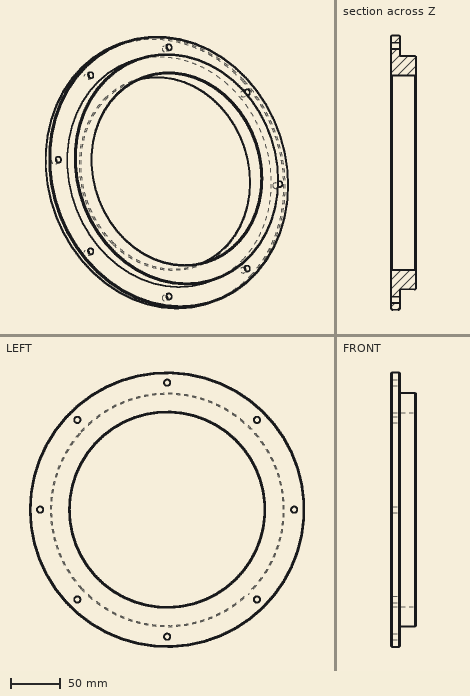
import cadquery as cq

flange_diameter = 276.0
hub_diameter = 235.0
bore_diameter = 195.0
total_length = 25.0
flange_thickness = 9.0
edge_chamfer = 1.0

hole_count = 8
hole_diameter = 6.0
bolt_circle_diameter = 255.0


def disc(diameter, length):
    """Disc on the YZ plane, extending toward +X, with both rims chamfered."""
    return cq.Workplane("YZ").circle(diameter / 2).extrude(length).edges().chamfer(edge_chamfer)


body = disc(flange_diameter, flange_thickness).union(disc(hub_diameter, total_length))

body = body.cut(cq.Workplane("YZ").circle(bore_diameter / 2).extrude(total_length))
bore_rims = body.faces("<X or >X").edges(cq.selectors.RadiusNthSelector(0))
body = bore_rims.chamfer(edge_chamfer)

bolt_holes = (
    cq.Workplane("YZ")
    .polarArray(bolt_circle_diameter / 2, 0, 360, hole_count)
    .circle(hole_diameter / 2)
    .extrude(flange_thickness)
)

result = body.cut(bolt_holes)